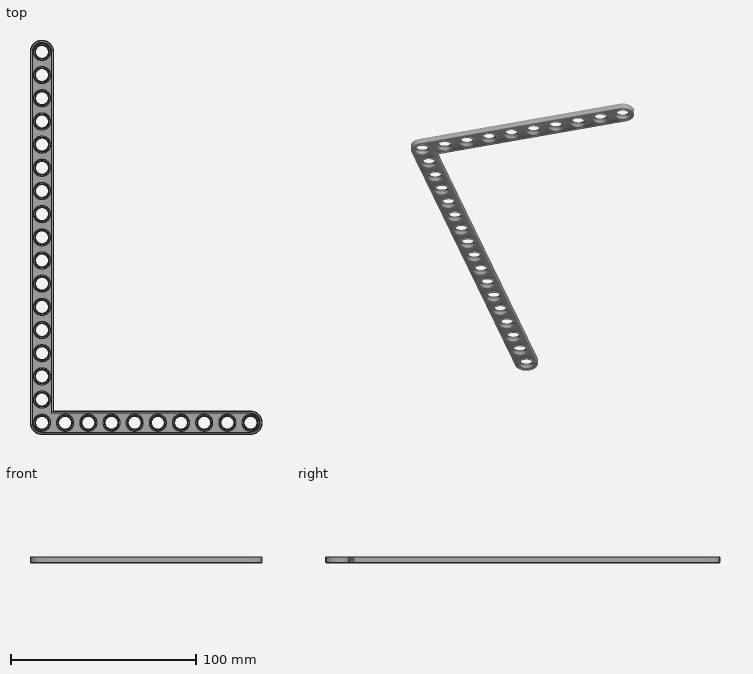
import cadquery as cq

overall_length = 212.5
long_leg_holes = 17
short_leg_holes = 10
thickness = 3.2
hole_diameter = 7.0
hole_chamfer = 0.36
edge_fillet = 0.4
rim_width = 1.1
recess_depth = 0.2

pitch = overall_length / long_leg_holes
leg_width = pitch
collar_diameter = hole_diameter + 2 * rim_width

hole_centers = [(i * pitch, 0) for i in range(short_leg_holes)]
hole_centers += [(0, i * pitch) for i in range(1, long_leg_holes)]


def leg(hole_count, width, height):
    """Round-ended bar of the given width along +X, its first hole position on the origin."""
    span = (hole_count - 1) * pitch
    return cq.Workplane("XY").center(span / 2, 0).slot2D(span + width, width).extrude(height)


def l_plate(width, height):
    """Two legs joined at the corner: the short one along +X, the long one along +Y."""
    short_leg = leg(short_leg_holes, width, height)
    long_leg = leg(long_leg_holes, width, height).rotate((0, 0, 0), (0, 0, 1), 90)
    return short_leg.union(long_leg).clean()


def hole_cutters():
    """Through-hole cutters that widen into a chamfer at both faces of the plate."""
    hole_radius = hole_diameter / 2
    mouth_radius = hole_radius + hole_chamfer
    profile = [
        (0, 0),
        (mouth_radius, 0),
        (hole_radius, hole_chamfer),
        (hole_radius, thickness - hole_chamfer),
        (mouth_radius, thickness),
        (0, thickness),
    ]
    cutter = cq.Workplane("XZ").polyline(profile).close().revolve(360, (0, 0, 0), (0, 1, 0))
    return cq.Workplane("XY").pushPoints(hole_centers).eachpoint(cutter.val(), combine=False)


def recess_cutter():
    """Shallow pocket inside the outer rim that leaves a collar standing around every hole."""
    collars = cq.Workplane("XY").pushPoints(hole_centers).circle(collar_diameter / 2).extrude(recess_depth)
    return l_plate(leg_width - 2 * rim_width, recess_depth).cut(collars)


plate = l_plate(leg_width, thickness).faces("<Z or >Z").edges().fillet(edge_fillet)
plate = plate.cut(hole_cutters())

recess = recess_cutter()
for recess_bottom in (0, thickness - recess_depth):
    plate = plate.cut(recess.translate((0, 0, recess_bottom)))

result = cq.Workplane(plate.solids().val())